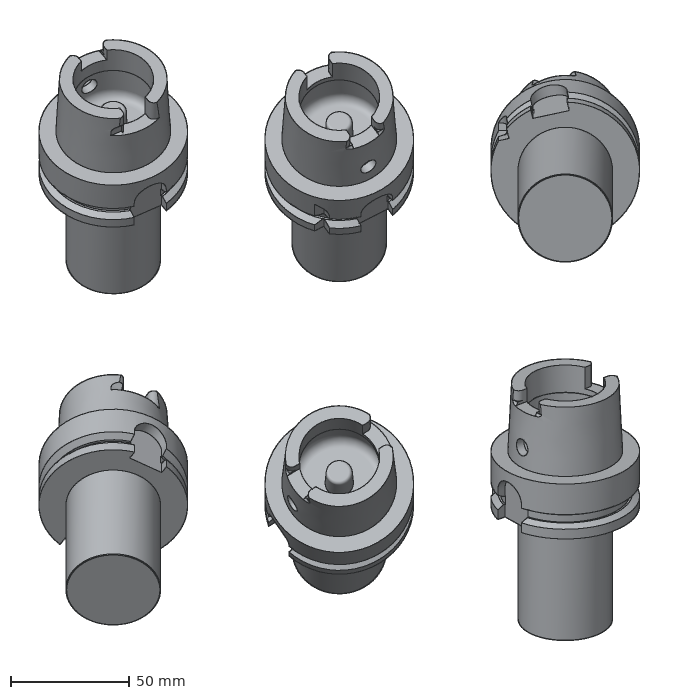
import cadquery as cq
import math

total_height = 111.9
flange_bottom = 53.9
flange_top = 79.9

shank_radius = 20.0
shank_chamfer = 0.3

flange_radius = 31.4
groove_radius = 27.5
groove_shoulder_radius = 28.4
groove_floor_bottom = 60.0
groove_floor_top = 63.8
groove_mouth_bottom = 58.5
groove_mouth_top = 65.5

taper_base_radius = 24.3
taper_top_radius = 22.77
bore_radius = 17.0
clamping_radius = 19.9
bore_floor_radius = 15.8
bore_cylinder_depth = 12.9
clamping_cone_height = 1.7
bore_floor = 79.9

stud_base_radius = 5.99
stud_top_radius = 5.54
stud_top = 93.0
stud_rounding = 1.3

side_hole_diameter = 7.5
side_hole_height = 89.1

drive_half_width = 6.3
drive_corner_radius = 2.8
drive_shoulder = 20.9
shallow_drive_depth = 6.2
deep_drive_depth = 10.2
shoulder_fillet = 1.3

relief_inner_x = 19.4
relief_top = 107.0
relief_arc_bottom = 104.1
relief_arc_middle = (19.8, 105.6)
relief_end_y = -7.6

key_radius = 7.89
key_arc_height = 67.1
key_floor = 26.5
notch_floor = 19.9
notch_side = 19.8

clearance = 44.8


def make_body():
    """Shank, flange and taper as one solid of revolution."""
    return (
        cq.Workplane("XZ")
        .moveTo(0, 0)
        .lineTo(shank_radius - shank_chamfer, 0)
        .lineTo(shank_radius, shank_chamfer)
        .lineTo(shank_radius, flange_bottom)
        .lineTo(flange_radius, flange_bottom)
        .lineTo(flange_radius, groove_mouth_bottom)
        .lineTo(groove_shoulder_radius, groove_floor_bottom)
        .lineTo(groove_radius, groove_floor_bottom)
        .lineTo(groove_radius, groove_floor_top)
        .lineTo(groove_shoulder_radius, groove_floor_top)
        .lineTo(flange_radius, groove_mouth_top)
        .lineTo(flange_radius, flange_top)
        .lineTo(taper_base_radius, flange_top)
        .lineTo(taper_top_radius, total_height)
        .lineTo(0, total_height)
        .close()
        .revolve(360, (0, 0), (0, 1))
    )


def make_bore():
    """Bore that widens below its mouth and leaves the rounded stud standing."""
    floor_fillet = clamping_radius - bore_floor_radius
    floor_arc_offset = floor_fillet * (1 - math.sqrt(0.5))
    cone_top = total_height - bore_cylinder_depth
    arc_offset = stud_rounding * math.sqrt(0.5)
    return (
        cq.Workplane("XZ")
        .moveTo(stud_base_radius, bore_floor)
        .lineTo(bore_floor_radius, bore_floor)
        .threePointArc(
            (clamping_radius - floor_arc_offset, bore_floor + floor_arc_offset),
            (clamping_radius, bore_floor + floor_fillet),
        )
        .lineTo(clamping_radius, cone_top - clamping_cone_height)
        .lineTo(bore_radius, cone_top)
        .lineTo(bore_radius, total_height)
        .lineTo(0, total_height)
        .lineTo(0, stud_top)
        .lineTo(stud_top_radius - stud_rounding, stud_top)
        .threePointArc(
            (stud_top_radius - stud_rounding + arc_offset, stud_top - stud_rounding + arc_offset),
            (stud_top_radius, stud_top - stud_rounding),
        )
        .close()
        .revolve(360, (0, 0), (0, 1))
    )


def make_side_hole():
    """Radial hole from the -X side into the bore."""
    return (
        cq.Workplane("YZ")
        .center(0, side_hole_height)
        .circle(side_hole_diameter / 2)
        .extrude(-clearance)
        .cut(cq.Workplane("XY").circle(bore_floor_radius).extrude(total_height))
    )


def make_drive_slot(depth):
    """Slot toward +X that flares out around the rounded tooth corners."""
    corner_start = drive_shoulder - drive_corner_radius
    corner_end = drive_half_width + drive_corner_radius
    arc_inset = drive_corner_radius * (1 - math.sqrt(0.5))
    corner_middle = (drive_shoulder - arc_inset, drive_half_width + arc_inset)
    return (
        cq.Workplane("XY")
        .workplane(offset=total_height - depth)
        .moveTo(0, -drive_half_width)
        .lineTo(corner_start, -drive_half_width)
        .threePointArc((corner_middle[0], -corner_middle[1]), (drive_shoulder, -corner_end))
        .lineTo(drive_shoulder, -clearance)
        .lineTo(clearance, -clearance)
        .lineTo(clearance, clearance)
        .lineTo(drive_shoulder, clearance)
        .lineTo(drive_shoulder, corner_end)
        .threePointArc(corner_middle, (corner_start, drive_half_width))
        .lineTo(0, drive_half_width)
        .close()
        .extrude(depth)
    )


def make_shoulder_fillets(slot_floor):
    """Concave fillets left at the foot of the +X tooth shoulders."""
    arc_offset = shoulder_fillet * (1 - math.sqrt(0.5))
    strip = (
        cq.Workplane("XZ")
        .moveTo(bore_radius, slot_floor)
        .lineTo(drive_shoulder + shoulder_fillet, slot_floor)
        .threePointArc(
            (drive_shoulder + arc_offset, slot_floor + arc_offset),
            (drive_shoulder, slot_floor + shoulder_fillet),
        )
        .lineTo(bore_radius, slot_floor + shoulder_fillet)
        .close()
        .extrude(clearance, both=True)
    )
    slot_passage = cq.Workplane("XY").box(2 * clearance, 2 * drive_half_width, 2 * total_height)
    return strip.cut(slot_passage)


def make_foot_relief():
    """Rounded undercut at the outer edge of the -Y tooth."""
    return (
        cq.Workplane("XZ")
        .workplane(offset=-relief_end_y)
        .moveTo(relief_inner_x, total_height - deep_drive_depth)
        .lineTo(relief_inner_x, relief_arc_bottom)
        .threePointArc(relief_arc_middle, (drive_shoulder, relief_top))
        .lineTo(drive_shoulder, total_height - deep_drive_depth)
        .close()
        .extrude(clearance)
    )


def make_flange_slot(center_y, floor_distance):
    """Round-topped slot cut from the -X side, open at the flange underside."""
    return (
        cq.Workplane("YZ")
        .workplane(offset=-floor_distance)
        .moveTo(center_y - key_radius, flange_bottom)
        .lineTo(center_y - key_radius, key_arc_height)
        .threePointArc(
            (center_y, key_arc_height + key_radius),
            (center_y + key_radius, key_arc_height),
        )
        .lineTo(center_y + key_radius, flange_bottom)
        .close()
        .extrude(-clearance)
    )


def half_turn(shape):
    return shape.rotate((0, 0, 0), (0, 0, 1), 180)


shallow_slot = make_drive_slot(shallow_drive_depth).cut(
    make_shoulder_fillets(total_height - shallow_drive_depth)
)
key_slot = make_flange_slot(0, key_floor)
corner_notch = make_flange_slot(notch_side + key_radius, notch_floor)

result = (
    make_body()
    .cut(make_bore())
    .cut(make_side_hole())
    .cut(make_drive_slot(deep_drive_depth))
    .cut(make_foot_relief())
    .cut(half_turn(shallow_slot))
    .cut(key_slot)
    .cut(half_turn(key_slot))
    .cut(corner_notch)
)